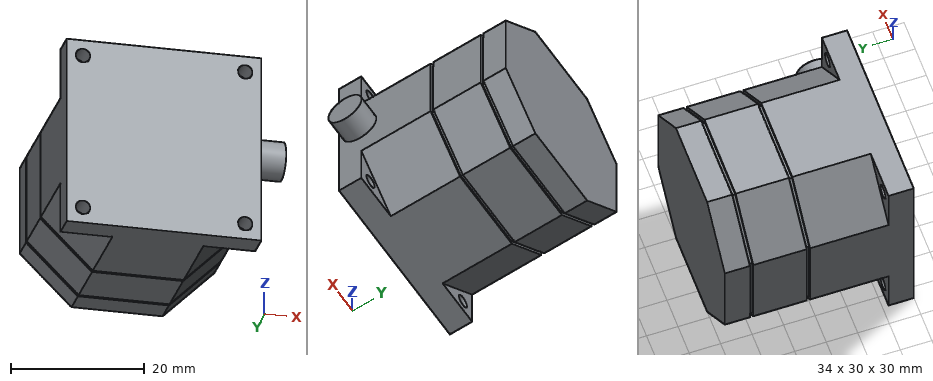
import cadquery as cq

overall_length_x = 34.0
width = 30.0
height = 30.02
length = 30.0
corner_cut = 8.0
plate_thickness = 4.0

groove_width = 0.5
groove_depth = 0.5
rear_section = 4.0
middle_section = 8.5

hole_diameter = 2.2
hole_spacing = 25.0

connector_diameter = 6.0
connector_length = overall_length_x - width
connector_setback = 3.75

front_y = -length / 2
rear_y = length / 2
plate_back_y = front_y + plate_thickness


def block(size_x, size_z, start_y, depth):
    """Box centred on the Y axis, running from start_y towards +Y."""
    return cq.Workplane("XY").box(size_x, depth, size_z).translate((0, start_y + depth / 2, 0))


def octagon(start_y, depth):
    """Full-size block whose four long corners are cut at 45 degrees."""
    return block(width, height, start_y, depth).edges("|Y").chamfer(corner_cut)


def groove(start_y):
    """Ring of constant depth around the octagon."""
    outer = octagon(start_y, groove_width)
    core = outer.faces("<Y").wires().toPending().workplane(invert=True)
    core = core.offset2D(-groove_depth, "intersection").extrude(groove_width, combine=False)
    return outer.cut(core)


def mounting_holes():
    """Four through-holes near the corners of the plate."""
    return (
        cq.Workplane("XZ", origin=(0, front_y, 0))
        .rect(hole_spacing, hole_spacing, forConstruction=True)
        .vertices()
        .circle(hole_diameter / 2)
        .extrude(-plate_thickness)
    )


def connector():
    """Plain round stub standing on the +X side."""
    return (
        cq.Workplane("YZ", origin=(width / 2, front_y + connector_setback, 0))
        .circle(connector_diameter / 2)
        .extrude(connector_length)
    )


plate = block(width, height, front_y, plate_thickness)
result = plate.union(octagon(plate_back_y, length - plate_thickness))

rear_groove_y = rear_y - rear_section - groove_width
front_groove_y = rear_groove_y - middle_section - groove_width
for groove_y in (rear_groove_y, front_groove_y):
    result = result.cut(groove(groove_y))

result = result.cut(mounting_holes()).union(connector())